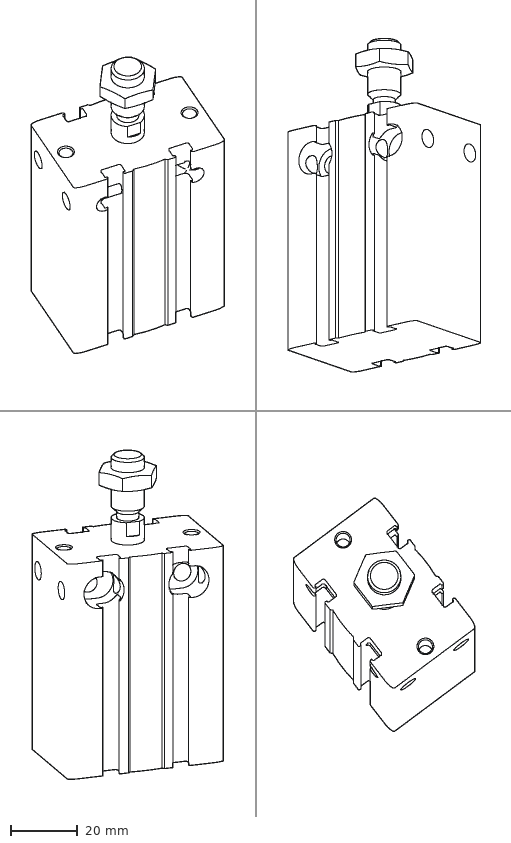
import cadquery as cq
import math

TOTAL_HEIGHT = 95.0

BODY_X = 32.0
BODY_Y = 50.0
BODY_HEIGHT = 68.0
HALF_X = BODY_X / 2
HALF_Y = BODY_Y / 2
CORNER_TAPER_X = 0.7
CORNER_TAPER_Y = 3.3
CORNER_RADIUS = 0.8

SLOT_FLOOR_X = 11.7
SLOT_INNER_Y = 7.9
SLOT_OUTER_Y = 14.5
LIP_INNER_Y = 8.55
LIP_OUTER_Y = 13.8
LIP_THICKNESS = 0.9
LIP_OUTER_ROUND = 0.6
LIP_INNER_ROUND = 0.3
SLOT_FLOOR_RADIUS = 0.7
SLOT_LIP_RADIUS = 0.3

RECESS_EDGE_Y = 5.8
RECESS_FLOOR_Y = 5.1
RECESS_DEPTH = 0.6
RECESS_BULGE = 0.33

CROSS_HOLE_DIAMETER = 5.5
CROSS_HOLE_Z = BODY_HEIGHT - 10.0
Y_HOLE_X = 10.0
X_HOLE_Y = 15.0
POCKET_WIDTH = 10.0
POCKET_SHIFT = 2.85
POCKET_DEPTH = 9.5

TAP_DRILL_DIAMETER = 4.2
TAP_MOUTH_DIAMETER = 5.0
TAP_DEPTH = 9.5
TAP_HOLE_Y = 20.4
DRILL_POINT_ANGLE = 118.0

ROD_DIAMETER = 10.0
NECK_DIAMETER = 6.65
ROD_TIP_CHAMFER = 0.9
COLLAR_TOP = 7.0
NECK_TOP = 9.0
ROD_LENGTH = TOTAL_HEIGHT - BODY_HEIGHT
FLATS_ACROSS = 9.0
FLATS_BOTTOM = 2.7

NUT_ACROSS_FLATS = 16.0
NUT_HEIGHT = 5.1
NUT_TOP = TOTAL_HEIGHT - 4.1
NUT_FACE_DIAMETER = 14.6
NUT_CORNER_DROP = 0.6


def make_profile():
    """Solid block whose long sides curve in towards rounded corners."""
    shoulder_y = HALF_Y - CORNER_TAPER_Y
    end_x = HALF_X - CORNER_TAPER_X
    curve_radius = (CORNER_TAPER_X ** 2 + CORNER_TAPER_Y ** 2) / (2 * CORNER_TAPER_X)
    block = (
        cq.Workplane("XY")
        .moveTo(HALF_X, -shoulder_y)
        .lineTo(HALF_X, shoulder_y)
        .radiusArc((end_x, HALF_Y), -curve_radius)
        .lineTo(-end_x, HALF_Y)
        .radiusArc((-HALF_X, shoulder_y), -curve_radius)
        .lineTo(-HALF_X, -shoulder_y)
        .radiusArc((-end_x, -HALF_Y), -curve_radius)
        .lineTo(end_x, -HALF_Y)
        .radiusArc((HALF_X, -shoulder_y), -curve_radius)
        .close()
        .extrude(BODY_HEIGHT)
    )
    corners = block.edges("|Z").edges(">Y or <Y")
    return corners.fillet(CORNER_RADIUS)


def make_slot():
    """Cutter for the undercut slot at +X, +Y, with rounded lips."""
    lip_back_x = HALF_X - LIP_THICKNESS
    channel = (
        cq.Workplane("XY")
        .moveTo(SLOT_FLOOR_X, SLOT_INNER_Y)
        .lineTo(lip_back_x, SLOT_INNER_Y)
        .lineTo(lip_back_x, SLOT_OUTER_Y)
        .lineTo(SLOT_FLOOR_X, SLOT_OUTER_Y)
        .close()
        .extrude(BODY_HEIGHT)
    )
    channel = channel.edges("|Z and <X").fillet(SLOT_FLOOR_RADIUS)
    channel = channel.edges("|Z and >X").fillet(SLOT_LIP_RADIUS)
    mouth = (
        cq.Workplane("XY")
        .moveTo(lip_back_x, LIP_INNER_Y)
        .lineTo(HALF_X - LIP_INNER_ROUND, LIP_INNER_Y)
        .radiusArc((HALF_X, LIP_INNER_Y - LIP_INNER_ROUND), LIP_INNER_ROUND)
        .lineTo(HALF_X, LIP_OUTER_Y + LIP_OUTER_ROUND)
        .radiusArc((HALF_X - LIP_OUTER_ROUND, LIP_OUTER_Y), LIP_OUTER_ROUND)
        .lineTo(lip_back_x, LIP_OUTER_Y)
        .close()
        .extrude(BODY_HEIGHT)
    )
    return channel.union(mouth)


def make_recess():
    """Cutter for the bulged middle recess on the +X side."""
    floor_x = HALF_X - RECESS_DEPTH
    return (
        cq.Workplane("XY")
        .moveTo(HALF_X, -RECESS_EDGE_Y)
        .lineTo(HALF_X, RECESS_EDGE_Y)
        .lineTo(floor_x, RECESS_FLOOR_Y)
        .threePointArc((floor_x + RECESS_BULGE, 0), (floor_x, -RECESS_FLOOR_Y))
        .close()
        .extrude(BODY_HEIGHT)
    )


def make_mounting_hole():
    """Cutter for the hole along X at +Y, with its oblong counterbore on the -X side."""
    hole = (
        cq.Workplane("YZ", origin=(-HALF_X, X_HOLE_Y, CROSS_HOLE_Z))
        .circle(CROSS_HOLE_DIAMETER / 2)
        .extrude(BODY_X)
    )
    pocket = (
        cq.Workplane("YZ", origin=(-HALF_X, X_HOLE_Y - POCKET_SHIFT / 2, CROSS_HOLE_Z))
        .slot2D(POCKET_SHIFT + POCKET_WIDTH, POCKET_WIDTH)
        .extrude(POCKET_DEPTH)
    )
    return hole.union(pocket)


def make_tapped_hole():
    """Cutter for the tapped hole at +Y: countersunk mouth, drill and drill point."""
    drill_radius = TAP_DRILL_DIAMETER / 2
    mouth_radius = TAP_MOUTH_DIAMETER / 2
    mouth_depth = mouth_radius - drill_radius
    point_depth = drill_radius / math.tan(math.radians(DRILL_POINT_ANGLE / 2))
    half_section = [
        (0, 0), (mouth_radius, 0), (drill_radius, -mouth_depth),
        (drill_radius, -TAP_DEPTH), (0, -TAP_DEPTH - point_depth),
    ]
    cutter = cq.Workplane("XZ").polyline(half_section).close().revolve(360, (0, 0), (0, 1))
    return cutter.translate((0, TAP_HOLE_Y, BODY_HEIGHT))


def make_side_holes():
    """Cutter for the two holes that run through along Y."""
    return (
        cq.Workplane("XZ", origin=(0, HALF_Y, CROSS_HOLE_Z))
        .pushPoints([(-Y_HOLE_X, 0), (Y_HOLE_X, 0)])
        .circle(CROSS_HOLE_DIAMETER / 2)
        .extrude(BODY_Y)
    )


def make_body():
    body = make_profile()
    slot = make_slot()
    recess = make_recess()
    opposite_slot = slot.mirror("YZ")
    for cutter in (slot, opposite_slot, make_mounting_hole(), make_tapped_hole()):
        body = body.cut(cutter).cut(cutter.mirror("XZ"))
    body = body.cut(recess).cut(recess.mirror("YZ"))
    return body.cut(make_side_holes())


def make_rod():
    """Stepped rod standing on the body, with two wrench flats on its collar."""
    rod_radius = ROD_DIAMETER / 2
    neck_radius = NECK_DIAMETER / 2
    cone_top = NECK_TOP + rod_radius - neck_radius
    half_section = [
        (0, 0), (rod_radius, 0), (rod_radius, COLLAR_TOP),
        (neck_radius, COLLAR_TOP), (neck_radius, NECK_TOP), (rod_radius, cone_top),
        (rod_radius, ROD_LENGTH - ROD_TIP_CHAMFER),
        (rod_radius - ROD_TIP_CHAMFER, ROD_LENGTH), (0, ROD_LENGTH),
    ]
    rod = cq.Workplane("XZ").polyline(half_section).close().revolve(360, (0, 0), (0, 1))
    flat_height = COLLAR_TOP - FLATS_BOTTOM
    flat_depth = (ROD_DIAMETER - FLATS_ACROSS) / 2
    for side in (-1, 1):
        flat = cq.Workplane("XY").box(flat_depth, ROD_DIAMETER, flat_height)
        flat_x = side * (FLATS_ACROSS + flat_depth) / 2
        rod = rod.cut(flat.translate((flat_x, 0, FLATS_BOTTOM + flat_height / 2)))
    return rod.translate((0, 0, BODY_HEIGHT))


def make_nut():
    """Hexagon nut with a corner on the Y axis and both faces chamfered at the corners."""
    corner_radius = NUT_ACROSS_FLATS / math.sqrt(3)
    face_radius = NUT_FACE_DIAMETER / 2
    hexagon = (
        cq.Workplane("XY")
        .polygon(6, 2 * corner_radius)
        .circle(ROD_DIAMETER / 2)
        .extrude(NUT_HEIGHT)
        .rotate((0, 0, 0), (0, 0, 1), 90)
    )
    chamfer_envelope = (
        cq.Workplane("XZ")
        .polyline([
            (0, 0), (face_radius, 0), (corner_radius, NUT_CORNER_DROP),
            (corner_radius, NUT_HEIGHT - NUT_CORNER_DROP), (face_radius, NUT_HEIGHT), (0, NUT_HEIGHT),
        ])
        .close()
        .revolve(360, (0, 0), (0, 1))
    )
    return hexagon.intersect(chamfer_envelope).translate((0, 0, NUT_TOP - NUT_HEIGHT))


body = make_body()
rod = make_rod()
nut = make_nut()

result = cq.Compound.makeCompound([body.solids().val(), rod.solids().val(), nut.solids().val()])